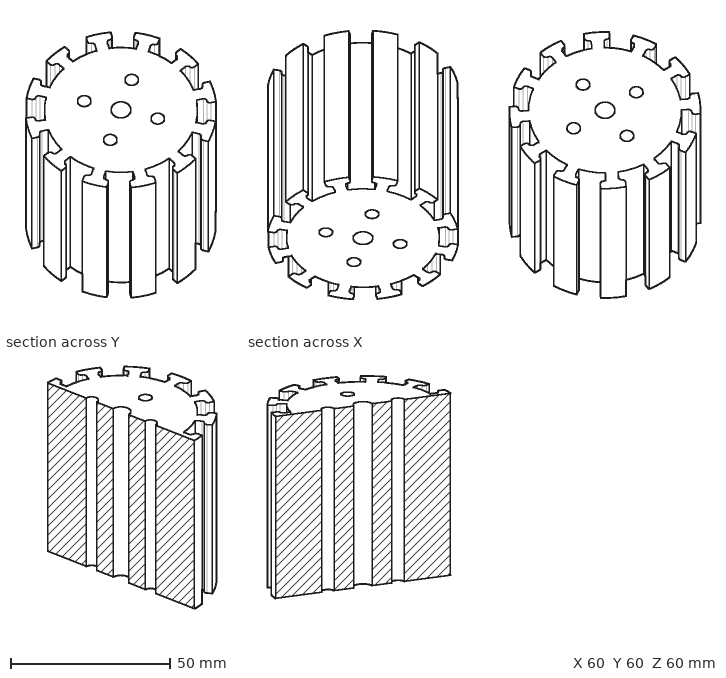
import cadquery as cq
import math

height = 60.0
outer_radius = height / 2

core_radius = 24.0
tooth_count = 12
head_width = 8.0
stem_width = head_width / 2
head_underside = 27.0
foot_overlap = 1.2

center_hole_diameter = 6.2
side_hole_diameter = 4.2
side_hole_count = 4
side_hole_circle_radius = core_radius / 2


def make_tooth():
    """One tooth pointing along +Y, with its foot sunk into the core.

    Below the head, a concave and a convex quarter round of equal radius
    meet midway between the stem and the side of the head.
    """
    foot = core_radius - foot_overlap
    head = head_width / 2
    stem = stem_width / 2
    bend_radius = (head - stem) / 2
    middle = stem + bend_radius
    bend_start = head_underside - bend_radius
    bend_end = head_underside + bend_radius
    shoulder = math.sqrt(outer_radius**2 - head**2)
    return (
        cq.Workplane("XY")
        .moveTo(-stem, foot)
        .lineTo(stem, foot)
        .lineTo(stem, bend_start)
        .radiusArc((middle, head_underside), bend_radius)
        .radiusArc((head, bend_end), -bend_radius)
        .lineTo(head, shoulder)
        .threePointArc((0, outer_radius), (-head, shoulder))
        .lineTo(-head, bend_end)
        .radiusArc((-middle, head_underside), -bend_radius)
        .radiusArc((-stem, bend_start), bend_radius)
        .close()
        .extrude(height)
    )


body = cq.Workplane("XY").circle(core_radius).extrude(height)
tooth = make_tooth()
for index in range(tooth_count):
    angle = index * 360 / tooth_count
    body = body.union(tooth.rotate((0, 0, 0), (0, 0, 1), angle))

center_hole = cq.Workplane("XY").circle(center_hole_diameter / 2).extrude(height)
side_holes = (
    cq.Workplane("XY")
    .polarArray(side_hole_circle_radius, 0, 360, side_hole_count)
    .circle(side_hole_diameter / 2)
    .extrude(height)
)
result = body.cut(center_hole).cut(side_holes)